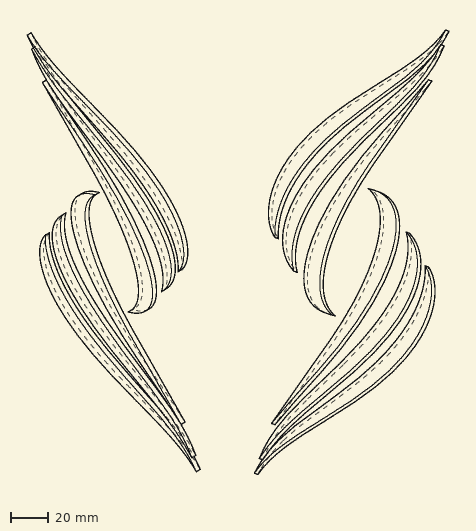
import cadquery as cq


overall_width = 135.02
overall_height = 223.25
thickness = 3.0
wing_angles = (0, 180)


top_tip = (-overall_width / 2, overall_height / 2)
top_heel = (53.0, 19.2)
top_outer_pulls = [(-36.7, 82.7), (38.1, 95.9), (71.8, 46.2)]
top_inner_pulls = [(-44.3, 79.5), (3.1, 86.5), (55.3, 55.6)]

middle_tip = (-64.0, 104.0)
middle_heel = (39.6, -2.8)
middle_outer_pulls = [(-33.4, 72.0), (19.4, 74.6), (69.1, 29.4)]
middle_inner_pulls = [(-47.5, 74.5), (-14.8, 71.6), (51.8, 38.0)]

center_tip = (-55.4, 85.9)
center_heel = (12.9, -33.1)
center_outer_pulls = [(-21.1, 59.0), (10.4, 50.0), (64.2, -14.2)]
center_inner_pulls = [(-8.9, 41.0), (-21.6, 57.2), (45.6, -3.3)]


def blade(tip, heel, outer_pulls, inner_pulls):
    """One flat blade of the upper wing, from Y = 0 back to Y = thickness."""
    outer_edge = [tip, *outer_pulls, heel]
    inner_edge = [heel, *reversed(inner_pulls), tip]
    return (
        cq.Workplane("XZ")
        .bezier(outer_edge)
        .bezier(inner_edge)
        .close()
        .extrude(-thickness)
    )


def top_blade():
    return blade(top_tip, top_heel, top_outer_pulls, top_inner_pulls)


def middle_blade():
    return blade(middle_tip, middle_heel, middle_outer_pulls, middle_inner_pulls)


def center_blade():
    return blade(center_tip, center_heel, center_outer_pulls, center_inner_pulls)


blades = []
for angle in wing_angles:
    for make_blade in (top_blade, middle_blade, center_blade):
        turned_blade = make_blade().rotate((0, 0, 0), (0, 1, 0), angle)
        blades.append(turned_blade.val())

result = cq.Compound.makeCompound(blades)